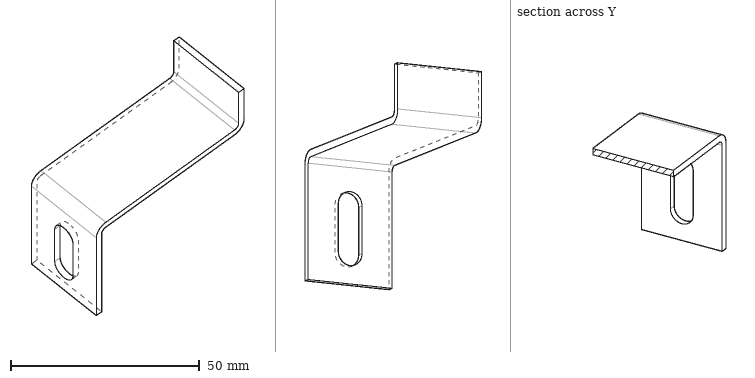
import cadquery as cq

width = 25.0
depth = 54.0
thickness = 2.0
inner_bend_radius = 1.5
lower_flange_height = 35.0
upper_flange_height = 16.0
slot_width = 7.0
slot_length = 20.0
slot_edge_distance = 5.0

outer_bend_radius = inner_bend_radius + thickness
front_y = -depth / 2
back_y = depth / 2
web_top_z = lower_flange_height
web_bottom_z = web_top_z - thickness
top_z = web_bottom_z + upper_flange_height
slot_center_z = slot_edge_distance + slot_length / 2


def make_sharp_strip():
    """Z-shaped strip with square corners, extruded evenly about X = 0."""
    outline = [
        (front_y, 0),
        (front_y, web_top_z),
        (back_y - thickness, web_top_z),
        (back_y - thickness, top_z),
        (back_y, top_z),
        (back_y, web_bottom_z),
        (front_y + thickness, web_bottom_z),
        (front_y + thickness, 0),
    ]
    return cq.Workplane("YZ").polyline(outline).close().extrude(width / 2, both=True)


def round_bend_edge(strip, y, z, radius):
    """Round the edge along X that passes through the given Y and Z."""
    edge = cq.selectors.NearestToPointSelector((0, y, z))
    return strip.edges("|X").edges(edge).fillet(radius)


def make_bent_strip():
    """Strip with concentric inner and outer radii at both bends."""
    strip = make_sharp_strip()
    strip = round_bend_edge(strip, front_y, web_top_z, outer_bend_radius)
    strip = round_bend_edge(strip, front_y + thickness, web_bottom_z, inner_bend_radius)
    strip = round_bend_edge(strip, back_y, web_bottom_z, outer_bend_radius)
    return round_bend_edge(strip, back_y - thickness, web_top_z, inner_bend_radius)


def make_slot_cutter():
    """Upright round-ended slot through the lower flange."""
    return (
        cq.Workplane("XZ", origin=(0, front_y + thickness / 2, slot_center_z))
        .slot2D(slot_length, slot_width, 90)
        .extrude(thickness, both=True)
    )


result = make_bent_strip().cut(make_slot_cutter())